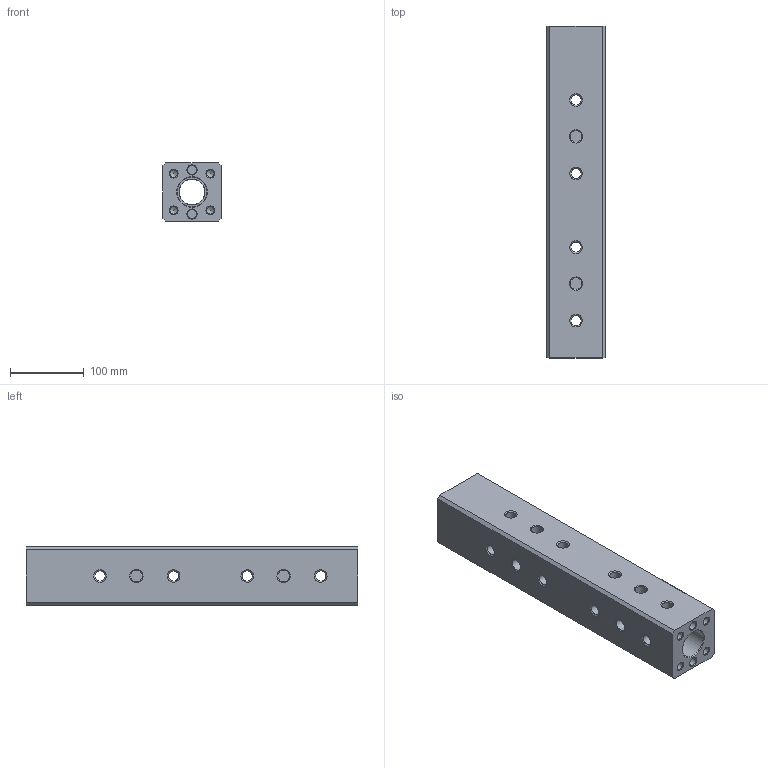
import cadquery as cq
import math

WIDTH = 80.0
LENGTH = 451.0
CORNER_CHAMFER = 4.0
HALF_WIDTH = WIDTH / 2
FRONT_Y = -LENGTH / 2

MOUTH_CHAMFER = 1.0

BORE_DIAMETER = 35.0
COUNTERBORE_DIAMETER = 40.0
COUNTERBORE_DEPTH = 40.0

TAP_DIAMETER = 10.11
TAP_DEPTH = 30.0
TAP_OFFSET = 25.0
DRILL_POINT_ANGLE = 118.0

END_DOWEL_DIAMETER = 12.0
END_DOWEL_DEPTH = 20.0
END_DOWEL_OFFSET = 30.0

GROUP_DISTANCES = (100.5, 300.5)
CROSS_OFFSET = 50.0
SIDE_DOWEL_SHIFT = 0.5
CROSS_DIAMETER = 14.0
CROSS_CHAMFER = 1.5
SIDE_DOWEL_DIAMETER = 16.0
SIDE_DOWEL_DEPTH = 15.0

INTO_BAR = cq.Vector(0, 1, 0)
TOP_NORMAL = cq.Vector(0, 0, 1)
SIDE_NORMAL = cq.Vector(-1, 0, 0)


def make_bar():
    """Square bar with its four long edges chamfered."""
    bar = cq.Workplane("XY").box(WIDTH, LENGTH, WIDTH)
    return bar.edges("|Y").chamfer(CORNER_CHAMFER)


def round_tool(diameter, depth, start, direction):
    """Cylinder that cuts a flat-bottomed hole."""
    return cq.Solid.makeCylinder(diameter / 2, depth, start, direction)


def mouth_tool(diameter, chamfer, start, direction):
    """Cone that cuts a 45 degree countersink at the mouth of a hole."""
    radius = diameter / 2
    return cq.Solid.makeCone(radius + chamfer, radius, chamfer, start, direction)


def cut_bore(bar):
    """Through bore with a wider, countersunk counterbore at the front end."""
    start = cq.Vector(0, FRONT_Y, 0)
    bar = bar.cut(round_tool(BORE_DIAMETER, LENGTH, start, INTO_BAR))
    bar = bar.cut(round_tool(COUNTERBORE_DIAMETER, COUNTERBORE_DEPTH, start, INTO_BAR))
    return bar.cut(mouth_tool(COUNTERBORE_DIAMETER, MOUTH_CHAMFER, start, INTO_BAR))


def cut_tapped_holes(bar):
    """Four countersunk corner holes that end in a drill point."""
    point_depth = TAP_DIAMETER / 2 / math.tan(math.radians(DRILL_POINT_ANGLE / 2))
    for x in (-TAP_OFFSET, TAP_OFFSET):
        for z in (-TAP_OFFSET, TAP_OFFSET):
            start = cq.Vector(x, FRONT_Y, z)
            bottom = start + INTO_BAR * TAP_DEPTH
            bar = bar.cut(round_tool(TAP_DIAMETER, TAP_DEPTH, start, INTO_BAR))
            bar = bar.cut(cq.Solid.makeCone(TAP_DIAMETER / 2, 0, point_depth, bottom, INTO_BAR))
            bar = bar.cut(mouth_tool(TAP_DIAMETER, MOUTH_CHAMFER, start, INTO_BAR))
    return bar


def cut_end_dowels(bar):
    """Two countersunk, flat-bottomed dowel holes in the front face."""
    for z in (-END_DOWEL_OFFSET, END_DOWEL_OFFSET):
        start = cq.Vector(0, FRONT_Y, z)
        bar = bar.cut(round_tool(END_DOWEL_DIAMETER, END_DOWEL_DEPTH, start, INTO_BAR))
        bar = bar.cut(mouth_tool(END_DOWEL_DIAMETER, MOUTH_CHAMFER, start, INTO_BAR))
    return bar


def cut_cross_holes(bar, outward):
    """Both hole groups in the face that points outward, countersunk in that face."""
    for distance in GROUP_DISTANCES:
        middle = cq.Vector(0, FRONT_Y + distance, 0) + outward * HALF_WIDTH
        dowel_start = middle + INTO_BAR * SIDE_DOWEL_SHIFT
        bar = bar.cut(round_tool(SIDE_DOWEL_DIAMETER, SIDE_DOWEL_DEPTH, dowel_start, -outward))
        bar = bar.cut(mouth_tool(SIDE_DOWEL_DIAMETER, MOUTH_CHAMFER, dowel_start, -outward))
        for offset in (-CROSS_OFFSET, CROSS_OFFSET):
            start = middle + INTO_BAR * offset
            bar = bar.cut(round_tool(CROSS_DIAMETER, WIDTH, start, -outward))
            bar = bar.cut(mouth_tool(CROSS_DIAMETER, CROSS_CHAMFER, start, -outward))
    return bar


result = make_bar()
result = cut_bore(result)
result = cut_tapped_holes(result)
result = cut_end_dowels(result)
for face_normal in (TOP_NORMAL, SIDE_NORMAL):
    result = cut_cross_holes(result, face_normal)